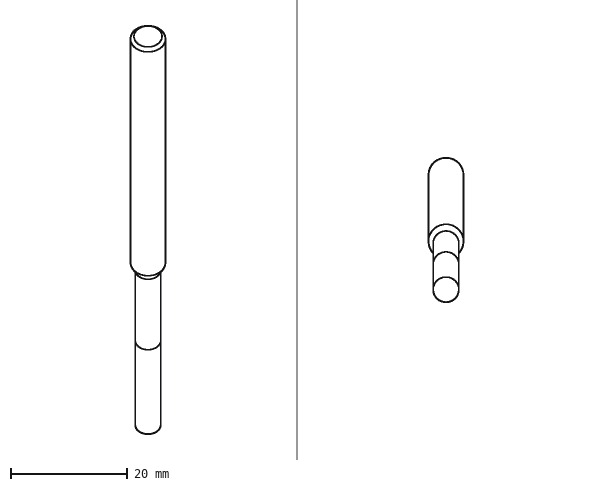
import cadquery as cq
import math

total_length = 100.8
shank_radius = 3.0
neck_radius = 2.2

chamfer_width = 0.6
chamfer_height = 0.6

shank_bottom = 42.5
neck_top = 40.7
tip_top = 22.6

point_angle = 140.0
point_height = neck_radius / math.tan(math.radians(point_angle / 2))


def revolve_profile(points):
    """Turn a closed (radius, height) profile about the Z axis."""
    return cq.Workplane("XZ").polyline(points).close().revolve(360, (0, 0), (0, 1))


def make_holder():
    """Chamfered shank that tapers down to the neck."""
    return revolve_profile([
        (0, tip_top),
        (neck_radius, tip_top),
        (neck_radius, neck_top),
        (shank_radius, shank_bottom),
        (shank_radius, total_length - chamfer_height),
        (shank_radius - chamfer_width, total_length),
        (0, total_length),
    ])


def make_drill_tip():
    """Cylindrical tip with a conical point, butted against the neck."""
    return revolve_profile([
        (0, 0),
        (neck_radius, point_height),
        (neck_radius, tip_top),
        (0, tip_top),
    ])


holder = make_holder()
drill_tip = make_drill_tip()

result = cq.Compound.makeCompound([holder.val(), drill_tip.val()])